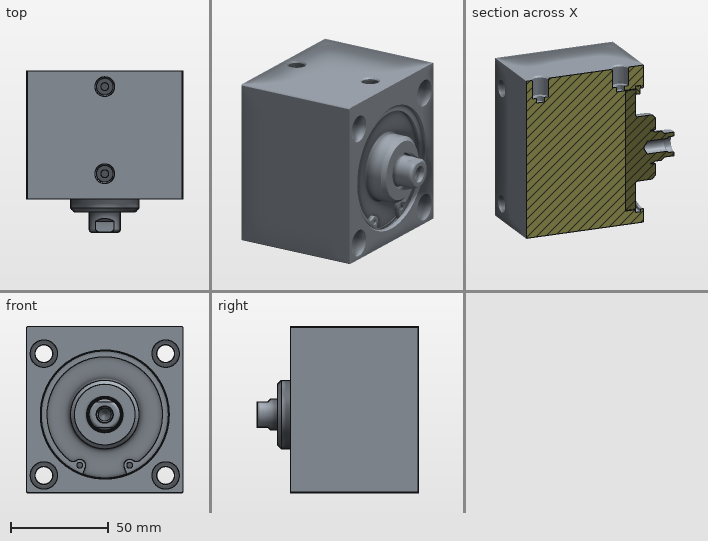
import cadquery as cq
import math


width = 80.0
length = 65.5
height_above_axis = 45.0
height_below_axis = 40.0
long_edge_chamfer = 0.5

bolt_circle_diameter = 88.0
bolt_offset = bolt_circle_diameter / 2 / math.sqrt(2)
bolt_hole_diameter = 9.0
counterbore_diameter = 14.0
counterbore_depth = 9.0

port_diameter = 8.57
port_chamfer = 0.75
port_depth = 10.0
port_passage_diameter = 4.0
front_port_y = 13.0
rear_port_y = length - 8.0

bore_diameter = 65.0
bore_chamfer = 0.5
gland_entry_chamfer = 0.3
bore_depth = 10.0
groove_diameter = 68.0
groove_front = 2.0
ring_thickness = 2.5
groove_back = groove_front + ring_thickness

ring_inner_radius = 29.5
lug_radius = 3.0
lug_hole_diameter = 3.0
lug_x = 12.75
lug_z = -25.9
lug_blend_radius = 3.0

gland_diameter = 64.8
collar_diameter = 35.0
collar_projection = 6.6
collar_chamfer = 2.0
collar_root_fillet = 1.0

wiper_seat_diameter = 18.0
wiper_seat_depth = 3.0
wiper_seat_chamfer = 0.3
wiper_base_diameter = 17.7
wiper_tip_diameter = 16.54
wiper_taper_length = 1.5
wiper_tip_recess = 0.5

rod_diameter = 16.0
rod_projection = 17.0
rod_end_fillet = 1.75
flats_width = 13.0
flats_length = 5.6
flats_runout = (rod_diameter - flats_width) / 2

thread_core_diameter = 6.65
thread_mouth_diameter = 8.25
thread_mouth_depth = 3.3
thread_mouth_chamfer = 0.25
thread_hole_depth = 15.0
drill_point_angle = 118.0


def turned(profile):
    """Solid of revolution about the Y axis from a closed profile of (radius, y)."""
    return profile.close().revolve(360, (0, 0, 0), (0, 1, 0))


def front_plane(y):
    """Work plane at depth y whose extrusions run toward +Y; local axes are X and -Z."""
    return cq.Workplane(cq.Plane(origin=(0, y, 0), xDir=(1, 0, 0), normal=(0, 1, 0)))


def make_bore_cutter():
    bore_radius = bore_diameter / 2
    groove_radius = groove_diameter / 2
    profile = (
        cq.Workplane("XY")
        .lineTo(bore_radius + bore_chamfer, 0)
        .lineTo(bore_radius, bore_chamfer)
        .lineTo(bore_radius, groove_front)
        .lineTo(groove_radius, groove_front)
        .lineTo(groove_radius, groove_back)
        .lineTo(bore_radius + gland_entry_chamfer, groove_back)
        .lineTo(bore_radius, groove_back + gland_entry_chamfer)
        .lineTo(bore_radius, bore_depth)
        .lineTo(0, bore_depth)
    )
    return turned(profile)


def make_port_cutter(y):
    port_radius = port_diameter / 2
    passage_radius = port_passage_diameter / 2
    bore_top = bore_diameter / 2
    profile = (
        cq.Workplane("XZ", origin=(0, y, 0))
        .moveTo(0, height_above_axis)
        .lineTo(port_radius + port_chamfer, height_above_axis)
        .lineTo(port_radius, height_above_axis - port_chamfer)
        .lineTo(port_radius, height_above_axis - port_depth)
        .lineTo(passage_radius, height_above_axis - port_depth)
        .lineTo(passage_radius, bore_top)
        .lineTo(0, bore_top)
        .close()
    )
    return profile.revolve(360, (0, 0, 0), (0, 1, 0))


def make_housing():
    block = (
        cq.Workplane("XY")
        .box(width, length, height_above_axis + height_below_axis, centered=(True, False, False))
        .translate((0, 0, -height_below_axis))
        .edges("|Y")
        .chamfer(long_edge_chamfer)
    )
    bolt_pitch = 2 * bolt_offset
    holes = front_plane(0).rect(bolt_pitch, bolt_pitch, forConstruction=True).vertices()
    block = block.cut(holes.circle(bolt_hole_diameter / 2).extrude(length))
    block = block.cut(holes.circle(counterbore_diameter / 2).extrude(counterbore_depth))
    block = block.cut(make_bore_cutter())
    for y in (front_port_y, rear_port_y):
        block = block.cut(make_port_cutter(y))
    return block


def make_retaining_ring():
    lug_distance = math.hypot(lug_x, lug_z)
    lug_angle = math.atan2(lug_x, -lug_z)
    gap_half_angle = lug_angle - math.asin(lug_radius / lug_distance)
    gap_reach = groove_diameter
    gap_x = gap_reach * math.tan(gap_half_angle)
    lug_centers = [(-lug_x, -lug_z), (lug_x, -lug_z)]

    plane = front_plane(groove_front)
    ring = plane.circle(groove_diameter / 2).circle(ring_inner_radius).extrude(ring_thickness)
    gap = plane.polyline([(0, 0), (gap_x, gap_reach), (-gap_x, gap_reach)]).close().extrude(ring_thickness)
    lugs = plane.pushPoints(lug_centers).circle(lug_radius).extrude(ring_thickness)
    ring = ring.cut(gap).union(lugs)

    crossing_cosine = (lug_distance**2 + ring_inner_radius**2 - lug_radius**2) / (
        2 * lug_distance * ring_inner_radius
    )
    crossing_angle = lug_angle + math.acos(crossing_cosine)
    for side in (-1, 1):
        corner = (
            side * ring_inner_radius * math.sin(crossing_angle),
            groove_front + ring_thickness / 2,
            -ring_inner_radius * math.cos(crossing_angle),
        )
        ring = ring.edges(cq.NearestToPointSelector(corner)).fillet(lug_blend_radius)
    lug_holes = plane.pushPoints(lug_centers).circle(lug_hole_diameter / 2).extrude(ring_thickness)
    return ring.cut(lug_holes)


def make_flats_cutter():
    """Cutter that leaves parallel flats on the rod end, with 45 degree runouts."""
    rod_radius = rod_diameter / 2
    flat_z = flats_width / 2
    rod_end = -rod_projection
    flat_end = rod_end + flats_length
    upper = (
        cq.Workplane("YZ", origin=(-rod_radius, 0, 0))
        .moveTo(rod_end, flat_z)
        .lineTo(flat_end, flat_z)
        .lineTo(flat_end + flats_runout, rod_radius)
        .lineTo(rod_end, rod_radius)
        .close()
        .extrude(rod_diameter)
    )
    return upper.union(upper.mirror("XY"))


def make_thread_hole_cutter():
    core_radius = thread_core_diameter / 2
    mouth_radius = thread_mouth_diameter / 2
    rod_end = -rod_projection
    hole_bottom = rod_end + thread_hole_depth
    point_depth = core_radius / math.tan(math.radians(drill_point_angle / 2))
    profile = (
        cq.Workplane("XY")
        .moveTo(0, rod_end)
        .lineTo(mouth_radius + thread_mouth_chamfer, rod_end)
        .lineTo(mouth_radius, rod_end + thread_mouth_chamfer)
        .lineTo(mouth_radius, rod_end + thread_mouth_depth)
        .lineTo(core_radius, rod_end + thread_mouth_depth + mouth_radius - core_radius)
        .lineTo(core_radius, hole_bottom)
        .lineTo(0, hole_bottom + point_depth)
    )
    return turned(profile)


def make_gland_with_rod():
    """Gland disc and collar, wiper lip and rod, turned as one piece."""
    gland_radius = gland_diameter / 2
    collar_radius = collar_diameter / 2
    rod_radius = rod_diameter / 2
    collar_face = -collar_projection
    wiper_tip = collar_face + wiper_tip_recess
    rod_end = -rod_projection
    fillet_reach = collar_root_fillet * (1 - math.sqrt(0.5))
    rod_fillet_reach = rod_end_fillet * (1 - math.sqrt(0.5))
    profile = (
        cq.Workplane("XY")
        .moveTo(0, bore_depth)
        .lineTo(gland_radius, bore_depth)
        .lineTo(gland_radius, groove_back)
        .lineTo(collar_radius + collar_root_fillet, groove_back)
        .threePointArc(
            (collar_radius + fillet_reach, groove_back - fillet_reach),
            (collar_radius, groove_back - collar_root_fillet),
        )
        .lineTo(collar_radius, collar_face + collar_chamfer)
        .lineTo(collar_radius - collar_chamfer, collar_face)
        .lineTo(wiper_seat_diameter / 2 + wiper_seat_chamfer, collar_face)
        .lineTo(wiper_seat_diameter / 2, collar_face + wiper_seat_chamfer)
        .lineTo(wiper_seat_diameter / 2, collar_face + wiper_seat_depth)
        .lineTo(wiper_base_diameter / 2, collar_face + wiper_seat_depth)
        .lineTo(wiper_base_diameter / 2, wiper_tip + wiper_taper_length)
        .lineTo(wiper_tip_diameter / 2, wiper_tip)
        .lineTo(rod_radius, wiper_tip)
        .lineTo(rod_radius, rod_end + rod_end_fillet)
        .threePointArc(
            (rod_radius - rod_fillet_reach, rod_end + rod_fillet_reach),
            (rod_radius - rod_end_fillet, rod_end),
        )
        .lineTo(0, rod_end)
    )
    return turned(profile).cut(make_flats_cutter()).cut(make_thread_hole_cutter())


housing = make_housing()
retaining_ring = make_retaining_ring()
gland_with_rod = make_gland_with_rod()

result = cq.Compound.makeCompound([housing.val(), retaining_ring.val(), gland_with_rod.val()])